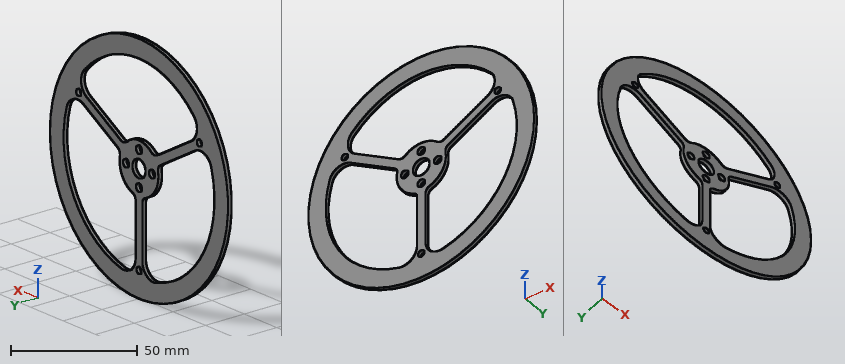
import cadquery as cq
import math

outer_radius = 55
thickness = 2.0
window_radius = 46.5
hub_radius = 12.0
spoke_width = 4.2
spoke_count = 3
first_spoke_angle = -90
rim_fillet = 7.0
hub_fillet = 3.0
bore_diameter = 8.0
hub_hole_diameter = 3.5
hub_hole_circle_radius = 8.0
hub_hole_count = 4
rim_hole_diameter = 3.0
rim_hole_circle_radius = 43.0

middle_radius = (hub_radius + window_radius) / 2
spoke_end_radius = (window_radius + outer_radius) / 2


def face_plane():
    """Plane of the +Y face; extruding from it fills the thickness toward -Y."""
    return cq.Workplane("XZ", origin=(0, thickness / 2, 0))


def disc(radius):
    """Full-thickness disc centred on the Y axis."""
    return face_plane().circle(radius).extrude(thickness)


def holes(diameter, circle_radius, count, start_angle):
    """Cutters for equally spaced through holes."""
    return (
        face_plane()
        .polarArray(circle_radius, start_angle, 360, count)
        .circle(diameter / 2)
        .extrude(thickness)
    )


def corners(body, min_radius, max_radius):
    """Edges along Y whose distance from the axis lies between two radii."""
    def distance(edge):
        center = edge.Center()
        return math.hypot(center.x, center.z)

    edges = body.edges("|Y").vals()
    return body.newObject([edge for edge in edges if min_radius < distance(edge) < max_radius])


wheel = disc(outer_radius).cut(disc(window_radius)).union(disc(hub_radius))
spokes = (
    face_plane()
    .polarArray(spoke_end_radius / 2, first_spoke_angle, 360, spoke_count)
    .rect(spoke_end_radius, spoke_width)
    .extrude(thickness, combine=False)
)
wheel = wheel.union(spokes)

wheel = corners(wheel, middle_radius, spoke_end_radius).fillet(rim_fillet)
wheel = corners(wheel, 0, middle_radius).fillet(hub_fillet)

wheel = wheel.cut(disc(bore_diameter / 2))
wheel = wheel.cut(holes(hub_hole_diameter, hub_hole_circle_radius, hub_hole_count, 0))
wheel = wheel.cut(holes(rim_hole_diameter, rim_hole_circle_radius, spoke_count, first_spoke_angle))

result = wheel